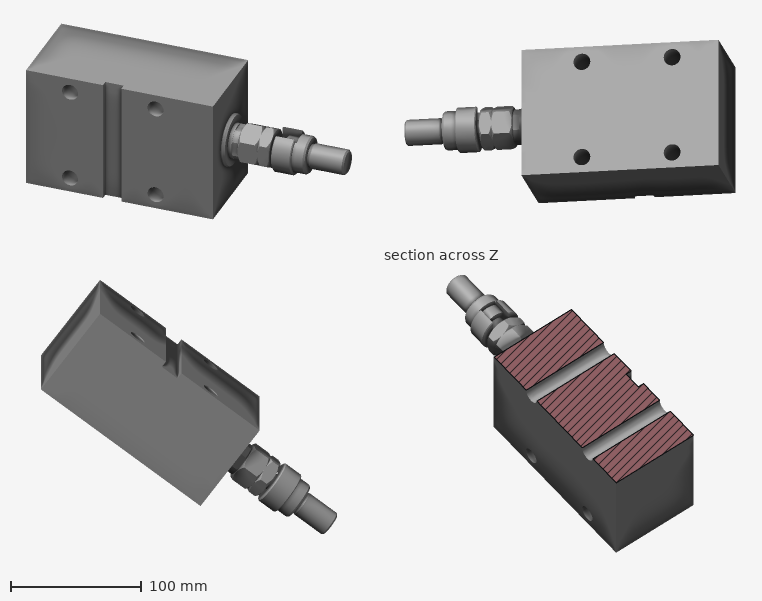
import cadquery as cq
import math

BLOCK_LENGTH = 153.0
BLOCK_DEPTH = 75.0
BLOCK_HEIGHT = 100.0
AXIS_Y = BLOCK_DEPTH / 2
AXIS_Z = BLOCK_HEIGHT / 2

HOLE_DIAMETER = 13.0
HOLE_FIRST_X = 36.0
HOLE_SPACING_X = 70.0
HOLE_SPACING_Z = 76.0
KEY_SLOT_START_X = 63.0
KEY_SLOT_WIDTH = 15.0
KEY_SLOT_DEPTH = 5.0

COLLAR_RADIUS = 21.0
COLLAR_LENGTH = 3.0
COLLAR_CHAMFER_RADIAL = 0.8
COLLAR_CHAMFER_AXIAL = 1.7

ROD_RADIUS = 14.0
ROD_ENGAGEMENT = 50.0
ROD_TIP_RADIUS = 13.8
ROD_FLAT_LENGTH = 5.5
ROD_FLATS_WIDTH = 25.0
ROD_END_CHAMFER = 0.75
ROD_START_X = BLOCK_LENGTH - ROD_ENGAGEMENT
ROD_END_X = 164.5

HEX_ACROSS_FLATS = 30.0
HEX_CHAMFER_AXIAL = 2.0
NUT_LENGTH = 16.0
PIN_HEX_LENGTH = 9.5
NUT_END_X = ROD_END_X + NUT_LENGTH
PIN_HEX_END_X = NUT_END_X + PIN_HEX_LENGTH

STUD_RADIUS = 10.0
STUD_ENGAGEMENT = 20.0
NECK_RADIUS = 7.0
HEAD_RADIUS = 12.0
HEAD_START_X = 199.5
HEAD_END_X = 208.8
STUD_START_X = ROD_END_X - STUD_ENGAGEMENT

DISC_RADIUS = 17.5
DISC_LENGTH = 16.0
DISC_CHAMFER = 0.75
BODY_RADIUS = 15.0
BODY_CHAMFER = 1.5
BODY_CHAMFER_RADIAL = 1.0
RELIEF_RADIUS = 9.2
RELIEF_LENGTH = 1.3
SHANK_RADIUS = 10.0
SHANK_TAPER = 1.3
SHANK_CHAMFER = 1.3
PIN_SLOT_WIDTH = 15.0
COUPLER_START_X = 192.5
DISC_END_X = COUPLER_START_X + DISC_LENGTH
PIN_SLOT_END_X = 210.0
BODY_END_X = 219.0
COUPLER_END_X = 249.0


def turned(profile):
    """Revolve (x, radius) points, from one end to the other, about the rod axis."""
    closed = [(profile[0][0], 0)] + profile + [(profile[-1][0], 0)]
    solid = cq.Workplane("XY").polyline(closed).close().revolve(360, (0, 0), (1, 0))
    return solid.translate((0, AXIS_Y, AXIS_Z))


def cylinder(start_x, end_x, radius):
    """Plain cylinder along the rod axis."""
    return turned([(start_x, radius), (end_x, radius)])


def chamfered_hex(start_x, end_x):
    """Hexagonal prism with corners at top and bottom, its corners turned off at both ends."""
    flat_radius = HEX_ACROSS_FLATS / 2
    corner_radius = flat_radius / math.cos(math.pi / 6)
    prism = (
        cq.Workplane("YZ")
        .polygon(6, 2 * corner_radius)
        .extrude(end_x - start_x)
        .rotate((0, 0, 0), (1, 0, 0), 90)
        .translate((start_x, AXIS_Y, AXIS_Z))
    )
    envelope = turned([
        (start_x, flat_radius),
        (start_x + HEX_CHAMFER_AXIAL, corner_radius),
        (end_x - HEX_CHAMFER_AXIAL, corner_radius),
        (end_x, flat_radius),
    ])
    return prism.intersect(envelope)


def make_housing():
    block = cq.Workplane("XY").box(BLOCK_LENGTH, BLOCK_DEPTH, BLOCK_HEIGHT, centered=False)
    key_slot = (
        cq.Workplane("XY")
        .box(KEY_SLOT_WIDTH, KEY_SLOT_DEPTH, BLOCK_HEIGHT, centered=False)
        .translate((KEY_SLOT_START_X, 0, 0))
    )
    mounting_holes = (
        cq.Workplane("XZ")
        .center(HOLE_FIRST_X + HOLE_SPACING_X / 2, AXIS_Z)
        .rarray(HOLE_SPACING_X, HOLE_SPACING_Z, 2, 2)
        .circle(HOLE_DIAMETER / 2)
        .extrude(-BLOCK_DEPTH)
    )
    collar_end_x = BLOCK_LENGTH + COLLAR_LENGTH
    collar = turned([
        (BLOCK_LENGTH, COLLAR_RADIUS),
        (collar_end_x - COLLAR_CHAMFER_AXIAL, COLLAR_RADIUS),
        (collar_end_x, COLLAR_RADIUS - COLLAR_CHAMFER_RADIAL),
    ])
    rod_bore = cylinder(ROD_START_X, collar_end_x, ROD_RADIUS)
    return block.cut(key_slot).cut(mounting_holes).union(collar).cut(rod_bore)


def make_piston_rod():
    flats_start_x = ROD_END_X - ROD_FLAT_LENGTH
    rod = turned([
        (ROD_START_X, ROD_RADIUS),
        (flats_start_x, ROD_RADIUS),
        (flats_start_x, ROD_TIP_RADIUS),
        (ROD_END_X - ROD_END_CHAMFER, ROD_TIP_RADIUS),
        (ROD_END_X, ROD_TIP_RADIUS - ROD_END_CHAMFER),
    ])
    outside_flats = (
        cq.Workplane("YZ")
        .circle(2 * ROD_RADIUS)
        .rect(ROD_FLATS_WIDTH, ROD_FLATS_WIDTH)
        .extrude(ROD_FLAT_LENGTH)
        .translate((flats_start_x, AXIS_Y, AXIS_Z))
    )
    stud_hole = cylinder(STUD_START_X, ROD_END_X, STUD_RADIUS)
    return rod.cut(outside_flats).cut(stud_hole)


def make_lock_nut():
    stud_hole = cylinder(ROD_END_X, NUT_END_X, STUD_RADIUS)
    return chamfered_hex(ROD_END_X, NUT_END_X).cut(stud_hole)


def make_coupling_pin():
    shaft = turned([
        (STUD_START_X, STUD_RADIUS),
        (PIN_HEX_END_X, STUD_RADIUS),
        (PIN_HEX_END_X, NECK_RADIUS),
        (HEAD_START_X, NECK_RADIUS),
        (HEAD_START_X, HEAD_RADIUS),
        (HEAD_END_X, HEAD_RADIUS),
    ])
    return shaft.union(chamfered_hex(NUT_END_X, PIN_HEX_END_X))


def make_coupler():
    relief_end_x = BODY_END_X + RELIEF_LENGTH
    blank = turned([
        (COUPLER_START_X, DISC_RADIUS - DISC_CHAMFER),
        (COUPLER_START_X + DISC_CHAMFER, DISC_RADIUS),
        (DISC_END_X - DISC_CHAMFER, DISC_RADIUS),
        (DISC_END_X, DISC_RADIUS - DISC_CHAMFER),
        (DISC_END_X, BODY_RADIUS),
        (BODY_END_X - BODY_CHAMFER, BODY_RADIUS),
        (BODY_END_X, BODY_RADIUS - BODY_CHAMFER_RADIAL),
        (BODY_END_X, RELIEF_RADIUS),
        (relief_end_x, RELIEF_RADIUS),
        (relief_end_x + SHANK_TAPER, SHANK_RADIUS),
        (COUPLER_END_X - SHANK_CHAMFER, SHANK_RADIUS),
        (COUPLER_END_X, SHANK_RADIUS - SHANK_CHAMFER),
    ])
    slot_length = PIN_SLOT_END_X - COUPLER_START_X
    slot_walls = (
        cq.Workplane("XY")
        .box(slot_length, PIN_SLOT_WIDTH, DISC_RADIUS, centered=(False, True, False))
        .translate((COUPLER_START_X, AXIS_Y, AXIS_Z))
    )
    slot_bottom = cylinder(COUPLER_START_X, PIN_SLOT_END_X, PIN_SLOT_WIDTH / 2)
    head_pocket = cylinder(HEAD_START_X, PIN_SLOT_END_X, HEAD_RADIUS)
    return blank.cut(slot_walls).cut(slot_bottom).cut(head_pocket)


housing = make_housing()
piston_rod = make_piston_rod()
lock_nut = make_lock_nut()
coupling_pin = make_coupling_pin()
coupler = make_coupler()

result = cq.Compound.makeCompound([
    housing.val(),
    piston_rod.val(),
    lock_nut.val(),
    coupling_pin.val(),
    coupler.val(),
])